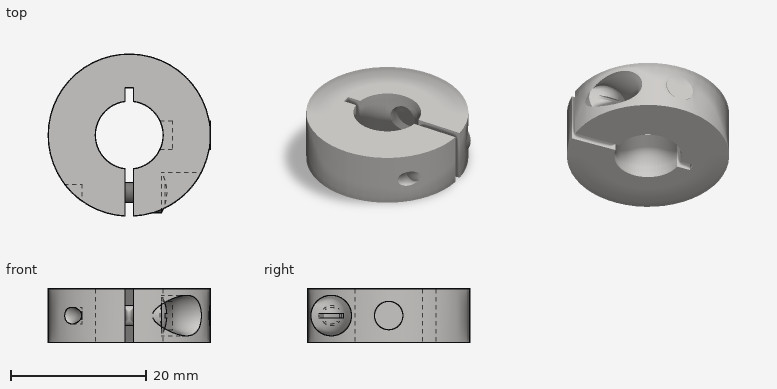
import cadquery as cq
import math

outer_radius = 12.0
bore_radius = 5.0
collar_height = 8.0

slit_width = 1.25
relief_end_y = 7.0

screw_y = -8.5
screw_radius = 1.5
tapped_hole_radius = 1.23
screw_end_x = -7.0

head_radius = 3.0
head_seat_x = 3.0
head_rim_x = 4.77
head_top_x = 5.56
drive_slot_width = 0.65
drive_slot_floor_x = 5.28

set_screw_radius = 2.1
set_screw_length = 5.6
set_screw_inner_x = outer_radius - set_screw_length


def rod_along_x(radius, start_x, end_x, y=0.0):
    """Solid cylinder parallel to X, at mid height."""
    base = cq.Workplane("YZ", origin=(start_x, y, 0))
    return base.circle(radius).extrude(end_x - start_x)


def make_collar():
    """Plain ring with the clamping slit and the relief slit."""
    base = cq.Workplane("XY", origin=(0, 0, -collar_height / 2))
    ring = base.circle(outer_radius).circle(bore_radius).extrude(collar_height)
    ring = ring.rotate((0, 0, 0), (0, 0, 1), 180)
    slit_length = outer_radius + relief_end_y
    slit_center_y = relief_end_y - slit_length / 2
    slit = cq.Workplane("XY").box(slit_width, slit_length, collar_height).translate((0, slit_center_y, 0))
    return ring.cut(slit)


def make_screw_head():
    """Cylindrical head with a domed top and a drive slot across it."""
    dome_height = head_top_x - head_rim_x
    dome_radius = (head_radius**2 + dome_height**2) / (2 * dome_height)
    middle_radius = head_radius / 2
    middle_x = head_top_x - dome_radius + math.sqrt(dome_radius**2 - middle_radius**2)
    half_profile = (
        cq.Workplane("XY", origin=(0, screw_y, 0))
        .moveTo(head_seat_x, 0)
        .lineTo(head_seat_x, head_radius)
        .lineTo(head_rim_x, head_radius)
        .threePointArc((middle_x, middle_radius), (head_top_x, 0))
        .close()
    )
    head = half_profile.revolve(360, (0, 0, 0), (1, 0, 0))
    drive_slot = (
        cq.Workplane("XY")
        .box(dome_height, 2 * head_radius, drive_slot_width, centered=(False, True, True))
        .translate((drive_slot_floor_x, screw_y, 0))
    )
    return head.cut(drive_slot)


def make_drilled_collar():
    """Collar with the screw holes open wherever the screws leave them empty."""
    tapped_hole = rod_along_x(tapped_hole_radius, -outer_radius, screw_end_x, screw_y)
    counterbore = rod_along_x(head_radius, head_seat_x, outer_radius, screw_y)
    set_screw_hole = rod_along_x(set_screw_radius, 0, 2 * outer_radius)
    return make_collar().cut(tapped_hole).cut(counterbore).cut(set_screw_hole)


shank = rod_along_x(screw_radius, -slit_width, slit_width, screw_y)
set_screw = rod_along_x(set_screw_radius, set_screw_inner_x, outer_radius)

result = make_drilled_collar().union(shank).union(set_screw).union(make_screw_head())